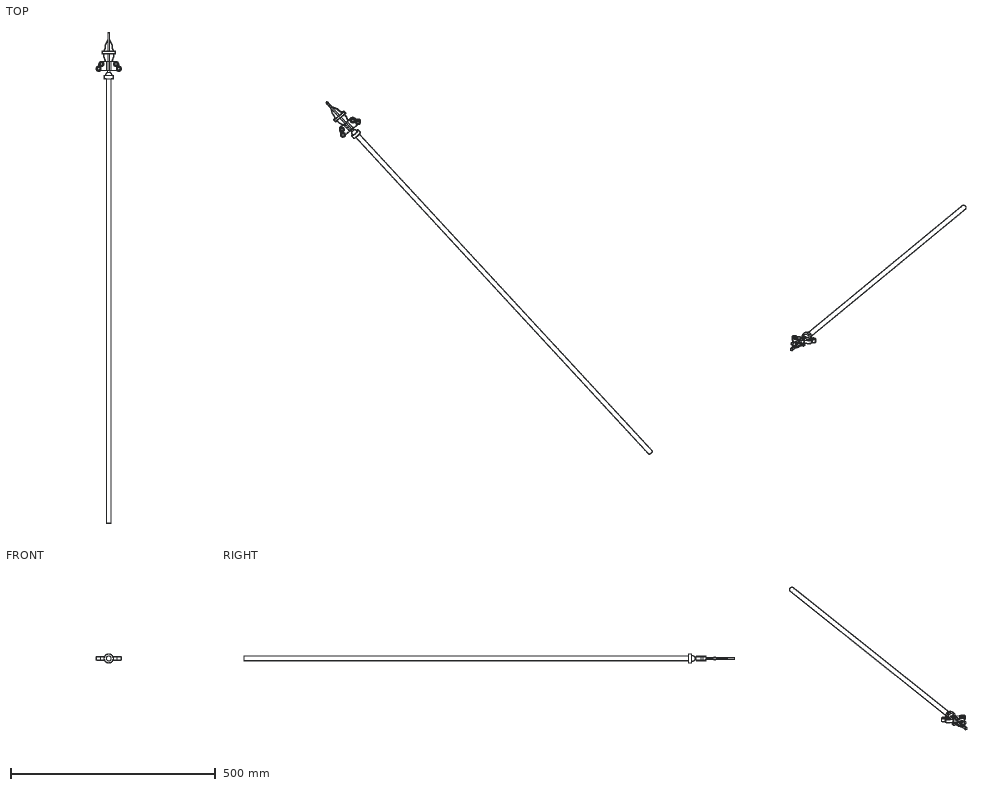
import cadquery as cq

TOTAL_LENGTH = 1200.0
HEAD_WIDTH = 62.0
SHAFT_DIAMETER = 12.0
COLLAR_DIAMETER = 22.5

COLLAR_START = 1087.0
COLLAR_LENGTH = 8.0
BEAD_LENGTH = 7.5
BEAD_RADIUS = 7.5
NECK_RADIUS = 3.4
NECK_LENGTH = 7.0
COLLAR_END = COLLAR_START + COLLAR_LENGTH
BEAD_END = COLLAR_END + BEAD_LENGTH
NECK_END = BEAD_END + NECK_LENGTH

SCROLL_THICKNESS = 10.4
SCROLL_BOTTOM = 1105.0
SCROLL_TOP = 1129.6
CURL_RADIUS = 6.5
CURL_CHAMFER = 1.8
CURL_EYE_RADIUS = 3.0
UPPER_CURL_HALF_SPAN = 24.0
LOWER_CURL_X = HEAD_WIDTH / 2 - CURL_RADIUS
LOWER_CURL_Y = SCROLL_BOTTOM + CURL_RADIUS
UPPER_CURL_X = UPPER_CURL_HALF_SPAN - CURL_RADIUS
UPPER_CURL_Y = SCROLL_TOP - CURL_RADIUS
WEB_THICKNESS = 7.6
WEB_BOTTOM = 1107.0
ROOT_HALF_WIDTH = 6.0
ROOT_RIB_THICKNESS = 12.0

BLADE_THICKNESS = 4.6
BLADE_EDGE_CHAMFER = 1.0
STEM_HALF_WIDTH = 8.5
LOWER_LEAF_HALF_WIDTH = 12.3
LOWER_LEAF_HEIGHT = 1140.0
UPPER_LEAF_HALF_WIDTH = 12.5
SHOULDER_HALF_WIDTH = 9.0
SHOULDER_HEIGHT = 1169.0
LEAF_TOP = 1183.0
FLANK_ARC_RADIUS = 20.0
SPINE_WIDTH = 4.0
SPINE_THICKNESS = 4.8
CROSSBAR_HALF_WIDTH = 16.8
CROSSBAR_BOTTOM = 1147.5
CROSSBAR_HEIGHT = 7.6
CROSSBAR_THICKNESS = 6.8
CROSSBAR_CHAMFER = 1.6


def plate(outline, thickness):
    """Extrude a closed XY outline equally to both sides of Z = 0."""
    return outline.extrude(thickness / 2, both=True)


def bar(half_width, bottom, top, thickness):
    """Rectangular bar centred on the Y axis between two heights."""
    box = cq.Workplane("XY").box(2 * half_width, top - bottom, thickness)
    return box.translate((0, (bottom + top) / 2, 0))


def turned_shaft():
    """Shaft, collar, rounded bead and slim neck as one body of revolution."""
    return (
        cq.Workplane("XY")
        .lineTo(SHAFT_DIAMETER / 2, 0)
        .lineTo(SHAFT_DIAMETER / 2, COLLAR_START)
        .lineTo(COLLAR_DIAMETER / 2, COLLAR_START)
        .lineTo(COLLAR_DIAMETER / 2, COLLAR_END)
        .lineTo(BEAD_RADIUS, COLLAR_END)
        .radiusArc((NECK_RADIUS, BEAD_END), -BEAD_LENGTH)
        .lineTo(NECK_RADIUS, NECK_END)
        .lineTo(0, NECK_END)
        .close()
        .revolve(360, (0, 0, 0), (0, 1, 0))
    )


def blade():
    """Leaf-shaped plate with bevelled rims, arched flanks and a pointed top."""
    half_outline = (
        cq.Workplane("XY")
        .moveTo(0, WEB_BOTTOM)
        .lineTo(STEM_HALF_WIDTH, WEB_BOTTOM)
        .lineTo(STEM_HALF_WIDTH, SCROLL_TOP)
        .lineTo(LOWER_LEAF_HALF_WIDTH, LOWER_LEAF_HEIGHT)
        .lineTo(UPPER_LEAF_HALF_WIDTH, CROSSBAR_BOTTOM + CROSSBAR_HEIGHT)
        .radiusArc((SHOULDER_HALF_WIDTH, SHOULDER_HEIGHT), FLANK_ARC_RADIUS)
        .lineTo(SPINE_WIDTH / 2, LEAF_TOP)
        .lineTo(0, LEAF_TOP)
        .close()
    )
    half = plate(half_outline, BLADE_THICKNESS)
    return half.union(half.mirror("YZ")).clean().faces("|Z").chamfer(BLADE_EDGE_CHAMFER)


def spine():
    """Square bar along the middle of the blade, ending in the tip."""
    return bar(SPINE_WIDTH / 2, WEB_BOTTOM, TOTAL_LENGTH, SPINE_THICKNESS)


def crossbar():
    """Raised bevelled bar across the widest part of the blade."""
    top = CROSSBAR_BOTTOM + CROSSBAR_HEIGHT
    block = bar(CROSSBAR_HALF_WIDTH, CROSSBAR_BOTTOM, top, CROSSBAR_THICKNESS)
    return block.faces("|Z").chamfer(CROSSBAR_CHAMFER)


def scroll_web():
    """Stepped plate that carries the curls, with a thick ribbed root in the middle."""
    lower = bar(LOWER_CURL_X, WEB_BOTTOM, UPPER_CURL_Y, WEB_THICKNESS)
    upper = bar(UPPER_CURL_X, LOWER_CURL_Y, SCROLL_TOP, WEB_THICKNESS)
    root = bar(ROOT_HALF_WIDTH, WEB_BOTTOM, SCROLL_TOP, SCROLL_THICKNESS)
    rib = bar(SPINE_WIDTH / 2, WEB_BOTTOM, SCROLL_TOP, ROOT_RIB_THICKNESS)
    return lower.union(upper).union(root).union(rib)


def disc(x, y, radius, thickness):
    """Round plate centred on Z = 0."""
    return plate(cq.Workplane("XY").center(x, y).circle(radius), thickness)


def curl(x, y):
    """Round bevelled curl with an eye sunk to the web in both faces."""
    rim = disc(x, y, CURL_RADIUS, SCROLL_THICKNESS).faces("|Z").chamfer(CURL_CHAMFER)
    eye_opening = disc(x, y, CURL_EYE_RADIUS, SCROLL_THICKNESS)
    eye_floor = disc(x, y, CURL_EYE_RADIUS, WEB_THICKNESS)
    return rim.cut(eye_opening).union(eye_floor)


result = turned_shaft().union(blade()).union(spine()).union(crossbar()).union(scroll_web())
for side in (-1, 1):
    result = result.union(curl(side * LOWER_CURL_X, LOWER_CURL_Y))
    result = result.union(curl(side * UPPER_CURL_X, UPPER_CURL_Y))